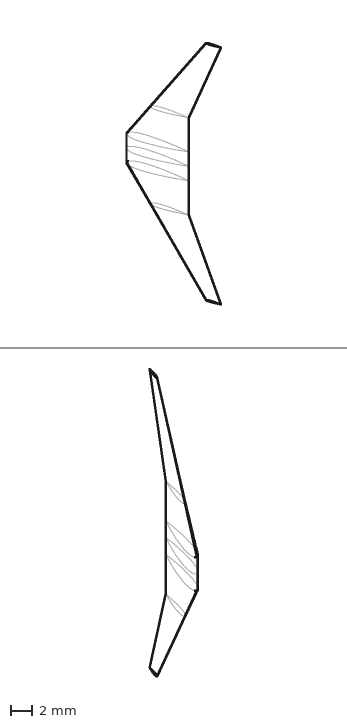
import cadquery as cq
import math

span = 35.35
root_chord = 6.3
root_thickness = 1.0
root_ratio = root_thickness / root_chord
kink_ratio = 0.13
tip_ratio = 0.1

center_half_span = 1.98
kink_half_span = 6.68
tip_half_span = span / 2
tip_leading_x = 8.02
tip_trailing_x = 9.55

sweep_slope = tip_leading_x / (tip_half_span - center_half_span)
kink_leading_x = sweep_slope * (kink_half_span - center_half_span)

surface_steps = 12


def half_thickness(chord_fraction, thickness_ratio):
    """Symmetric four-digit NACA thickness law with a closed trailing edge."""
    polynomial = (
        0.2969 * math.sqrt(chord_fraction)
        - 0.1260 * chord_fraction
        - 0.3516 * chord_fraction**2
        + 0.2843 * chord_fraction**3
        - 0.1036 * chord_fraction**4
    )
    return 5 * thickness_ratio * polynomial


def airfoil(leading_x, trailing_x, z, thickness_ratio):
    """Closed airfoil wire of two mirrored surfaces, smooth at the nose and sharp at the tail."""
    chord = trailing_x - leading_x
    nose = cq.Vector(leading_x, 0, z)
    tail = cq.Vector(trailing_x, 0, z)
    upper = [nose]
    lower = [nose]
    for step in range(1, surface_steps):
        fraction = (1 - math.cos(math.pi * step / surface_steps)) / 2
        x = leading_x + chord * fraction
        y = chord * half_thickness(fraction, thickness_ratio)
        upper.append(cq.Vector(x, y, z))
        lower.append(cq.Vector(x, -y, z))
    upper.append(tail)
    lower.append(tail)

    nose_direction = cq.Vector(0, 1, 0)
    free_points = [None] * surface_steps
    upper_edge = cq.Edge.makeSpline(upper, tangents=[nose_direction] + free_points)
    lower_edge = cq.Edge.makeSpline(lower, tangents=[-nose_direction] + free_points)
    return cq.Wire.assembleEdges([upper_edge, lower_edge])


def panel(inner_section, outer_section):
    """Ruled wing panel between two airfoil sections."""
    return cq.Solid.makeLoft([airfoil(*inner_section), airfoil(*outer_section)], True)


half_sections = [
    (0, root_chord, 0, root_ratio),
    (0, root_chord, center_half_span, root_ratio),
    (kink_leading_x, root_chord, kink_half_span, kink_ratio),
    (tip_leading_x, tip_trailing_x, tip_half_span, tip_ratio),
]

half_wing = cq.Workplane("XY")
for inner, outer in zip(half_sections, half_sections[1:]):
    half_wing = half_wing.union(cq.Workplane(obj=panel(inner, outer)))

result = half_wing.union(half_wing.mirror("XY"))